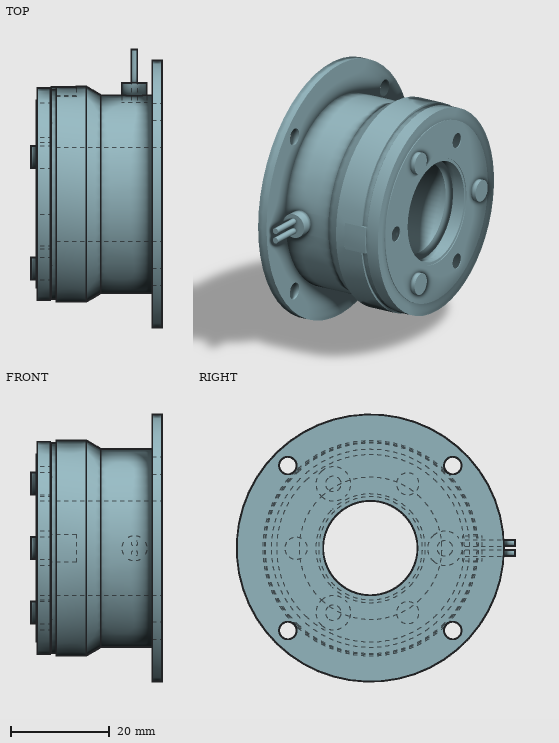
import cadquery as cq
import math


flange_thickness = 2.0
neck_front = -12.4
drum_back = -15.35
drum_front = -21.4
ring_front = -22.4
armature_back = -22.55
armature_front = -25.25
spring_thickness = 0.15
spring_front = armature_front - spring_thickness
rivet_front = -26.5

flange_radius = 27.0
neck_radius = 20.0
drum_radius = 21.75
housing_bore_radius = 9.5
mounting_hole_radius = 1.75
mounting_hole_spacing = 33.3

ring_outer_radius = 21.25
ring_inner_radius = 14.4
tab_width = 5.6
tab_length = 5.0
tab_back = ring_front + tab_length

armature_radius = 21.5
armature_bore_radius = 10.45
spring_radius = 18.95
spring_bore_radius = 11.0
rivet_circle_radius = 15.0
rivet_count = 3
rivet_radius = 2.25
access_hole_radius = 1.6
armature_clearance_radius = 3.5
first_rivet_angle = 180.0
first_access_angle = first_rivet_angle + 180.0 / rivet_count

cable_x = -5.6
grommet_radius = 2.55
grommet_base = 18.55
grommet_top = 22.5
wire_radius = 0.6
wire_offset = 1.0
wire_end = 29.25


def axial_cylinder(radius, x_start, x_end, centres=((0, 0),)):
    """Solid cylinders along X between two positions, one at each (Y, Z) centre."""
    plane = cq.Workplane("YZ", origin=(x_start, 0, 0))
    return plane.pushPoints(centres).circle(radius).extrude(x_end - x_start)


def radial_cylinder(radius, y_start, y_end, z=0.0):
    """Solid cylinder along Y, at the cable entry."""
    plane = cq.Workplane("XZ", origin=(cable_x, y_start, z))
    return plane.circle(radius).extrude(y_start - y_end)


def disc(outer_radius, inner_radius, x_start, x_end):
    """Flat ring around the X axis."""
    outer = axial_cylinder(outer_radius, x_start, x_end)
    return outer.cut(axial_cylinder(inner_radius, x_start, x_end))


def rivet_circle_points(first_angle):
    """(Y, Z) points evenly spaced on the rivet circle, starting at an angle measured from +Y."""
    angles = [math.radians(first_angle + i * 360 / rivet_count) for i in range(rivet_count)]
    return [(rivet_circle_radius * math.cos(a), rivet_circle_radius * math.sin(a)) for a in angles]


rivet_points = rivet_circle_points(first_rivet_angle)
access_points = rivet_circle_points(first_access_angle)


def make_tab():
    """Locating tab of the friction ring, rounded like the drum."""
    band = disc(drum_radius, neck_radius, ring_front, tab_back)
    strip = cq.Workplane("XY").box(tab_length, drum_radius, tab_width, centered=(False, False, True))
    return band.intersect(strip.translate((ring_front, 0, 0)))


def make_housing():
    """Flanged housing turned around X, with recesses for the tab and the grommet."""
    profile = [
        (0, housing_bore_radius),
        (0, flange_radius),
        (-flange_thickness, flange_radius),
        (-flange_thickness, neck_radius),
        (neck_front, neck_radius),
        (drum_back, drum_radius),
        (drum_front, drum_radius),
        (drum_front, housing_bore_radius),
    ]
    body = cq.Workplane("XY").polyline(profile).close().revolve(360, (0, 0, 0), (1, 0, 0))
    half = mounting_hole_spacing / 2
    corners = [(y, z) for y in (-half, half) for z in (-half, half)]
    body = body.cut(axial_cylinder(mounting_hole_radius, -flange_thickness, 0, corners))
    body = body.cut(radial_cylinder(grommet_radius, grommet_base, grommet_top))
    return body.cut(make_tab())


def make_friction_ring():
    """Flat ring on the drum front, with its tab set into the drum rim."""
    ring = disc(ring_outer_radius, ring_inner_radius, ring_front, drum_front)
    return ring.union(make_tab())


def make_armature():
    """Armature disc with rivet holes and wide clearance holes between them."""
    body = disc(armature_radius, armature_bore_radius, armature_front, armature_back)
    body = body.cut(axial_cylinder(rivet_radius, armature_front, armature_back, rivet_points))
    return body.cut(axial_cylinder(armature_clearance_radius, armature_front, armature_back, access_points))


def make_spring_plate():
    """Thin plate on the armature front, with rivet holes and access holes."""
    plate = disc(spring_radius, spring_bore_radius, spring_front, armature_front)
    plate = plate.cut(axial_cylinder(rivet_radius, spring_front, armature_front, rivet_points))
    return plate.cut(axial_cylinder(access_hole_radius, spring_front, armature_front, access_points))


def make_rivet(point):
    """Plain rivet through the spring plate and the armature."""
    return axial_cylinder(rivet_radius, rivet_front, armature_back, [point])


def make_wire(z):
    """Lead that starts at the grommet base and leaves along +Y."""
    return radial_cylinder(wire_radius, grommet_base, wire_end, z)


housing = make_housing()
friction_ring = make_friction_ring()
armature = make_armature()
spring_plate = make_spring_plate()
rivets = [make_rivet(point) for point in rivet_points]
wires = [make_wire(z) for z in (-wire_offset, wire_offset)]

grommet = radial_cylinder(grommet_radius, grommet_base, grommet_top)
for wire in wires:
    grommet = grommet.cut(wire)

result = cq.Compound.makeCompound([
    housing.val(),
    friction_ring.val(),
    armature.val(),
    spring_plate.val(),
    *[rivet.val() for rivet in rivets],
    grommet.val(),
    *[wire.val() for wire in wires],
])